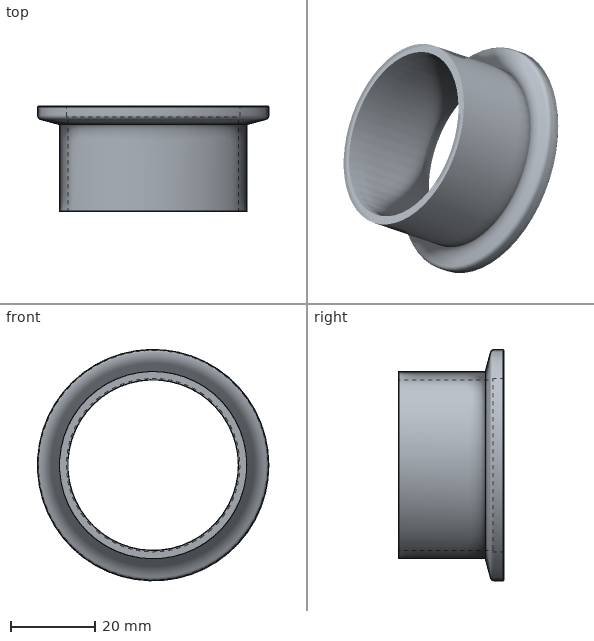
import cadquery as cq
import math

flange_diameter = 55.0
tube_outer_diameter = 44.5
bore_diameter = 40.5
total_length = 25.0
rim_straight_length = 2.25
rim_edge_radius = 1.0
cone_angle = 15.0
face_edge_chamfer = 0.2
recess_diameter = 41.25
recess_depth = 2.6

flange_radius = flange_diameter / 2
tube_radius = tube_outer_diameter / 2
bore_radius = bore_diameter / 2
recess_radius = recess_diameter / 2
back_y = total_length / 2
front_y = -back_y
recess_y = back_y - recess_depth

arc_center_x = flange_radius - rim_edge_radius
arc_center_y = back_y - rim_straight_length


def rim_arc_point(angle):
    """Point on the rounded rim edge, turned from the radial direction toward the tube."""
    turn = math.radians(angle)
    return (
        arc_center_x + rim_edge_radius * math.cos(turn),
        arc_center_y - rim_edge_radius * math.sin(turn),
    )


arc_sweep = 90.0 - cone_angle
cone_start = rim_arc_point(arc_sweep)
cone_drop = (cone_start[0] - tube_radius) * math.tan(math.radians(cone_angle))
cone_end = (tube_radius, cone_start[1] - cone_drop)

result = (
    cq.Workplane("XY")
    .moveTo(bore_radius, front_y)
    .lineTo(tube_radius, front_y)
    .lineTo(*cone_end)
    .lineTo(*cone_start)
    .threePointArc(rim_arc_point(arc_sweep / 2), rim_arc_point(0))
    .lineTo(flange_radius, back_y - face_edge_chamfer)
    .lineTo(flange_radius - face_edge_chamfer, back_y)
    .lineTo(recess_radius, back_y)
    .lineTo(recess_radius, recess_y)
    .lineTo(bore_radius, recess_y)
    .close()
    .revolve(360, (0, 0, 0), (0, 1, 0))
)